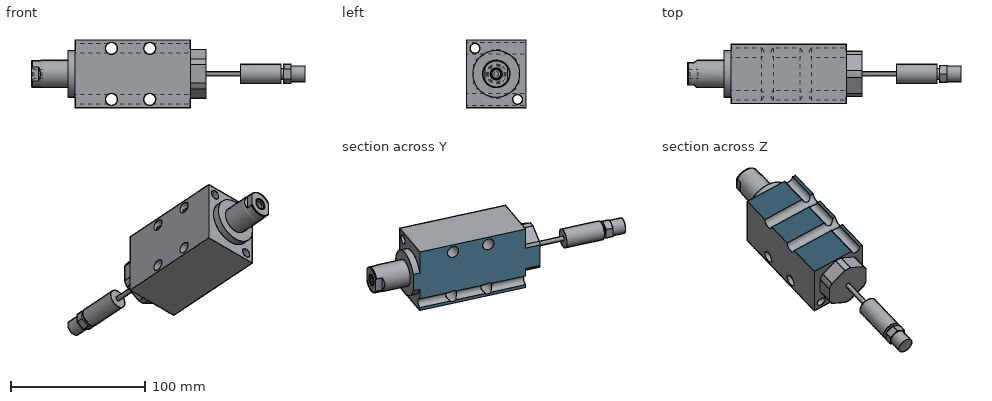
import cadquery as cq
import math

BODY_LENGTH = 85.85
BODY_WIDTH = 44.45
BODY_HEIGHT = 50.8

HOLE_ROW_SPACING = 38.1
MOUNT_HOLE_DIAMETER = 8.73
MOUNT_HOLE_SPACING = 28.575
MOUNT_HOLE_SETBACK = 27.0
END_HOLE_DIAMETER = 7.14
END_HOLE_SPACING = 31.75

FLANGE_DIAMETER = 34.93
FLANGE_LENGTH = 5.4
STEM_DIAMETER = 20.5
STEM_LENGTH = 27.2
TIP_DIAMETER = 19.95
TIP_LENGTH = 6.4
TIP_TAPER_LENGTH = 1.1
TIP_CHAMFER_LENGTH = 0.75
TIP_FACE_DIAMETER = 19.4

FLAT_SPACING = 16.9
FLAT_LENGTH = 5.1
BORE_DIAMETER = 6.5
BORE_MOUTH_DIAMETER = 9.0
COUNTERBORE_DIAMETER = 8.2
COUNTERBORE_DEPTH = 0.9
BORE_DEPTH = 8.0

PLUG_ACROSS_FLATS = 33.9
PLUG_CORNER_DIAMETER = 36.6
PLUG_LENGTH = 11.8

CABLE_DIAMETER = 3.5
CABLE_LENGTH = 25.5
BARREL_DIAMETER = 14.5
BARREL_LENGTH = 30.4
NECK_DIAMETER = 8.4
NECK_LENGTH = 1.8
NUT_ACROSS_FLATS = 12.7
NUT_LENGTH = 5.7
OVERALL_LENGTH = 203.96
SOCKET_DIAMETER = 12.0

FLANGE_START = -FLANGE_LENGTH
STEM_START = FLANGE_START - STEM_LENGTH
CABLE_START = BODY_LENGTH + PLUG_LENGTH
BARREL_START = CABLE_START + CABLE_LENGTH
NECK_START = BARREL_START + BARREL_LENGTH
NUT_START = NECK_START + NECK_LENGTH
SOCKET_START = NUT_START + NUT_LENGTH
SOCKET_LENGTH = STEM_START + OVERALL_LENGTH - SOCKET_START


def cylinder(start, length, diameter):
    """Solid cylinder on the X axis, beginning at X = start."""
    return cq.Workplane("YZ", origin=(start, 0, 0)).circle(diameter / 2).extrude(length)


def hexagon(start, length, across_flats):
    """Hexagonal prism on the X axis with flats facing +Y and -Y."""
    across_corners = across_flats / math.cos(math.pi / 6)
    plane = cq.Workplane("YZ", origin=(start, 0, 0)).transformed(rotate=(0, 0, 90))
    return plane.polygon(6, across_corners).extrude(length)


def make_body():
    block = cq.Workplane("XY").box(BODY_LENGTH, BODY_WIDTH, BODY_HEIGHT)
    return block.translate((BODY_LENGTH / 2, 0, 0))


def make_mount_holes():
    """Four holes across the body, parallel to Y."""
    centre = MOUNT_HOLE_SETBACK + MOUNT_HOLE_SPACING / 2
    return (
        cq.Workplane("XZ", origin=(centre, 0, 0))
        .rarray(MOUNT_HOLE_SPACING, HOLE_ROW_SPACING, 2, 2)
        .circle(MOUNT_HOLE_DIAMETER / 2)
        .extrude(BODY_WIDTH / 2, both=True)
    )


def make_end_holes():
    """Two holes along the body at diagonally opposite corners."""
    y = END_HOLE_SPACING / 2
    z = HOLE_ROW_SPACING / 2
    return (
        cq.Workplane("YZ")
        .pushPoints([(y, z), (-y, -z)])
        .circle(END_HOLE_DIAMETER / 2)
        .extrude(BODY_LENGTH)
    )


def make_stem():
    """Turned stem with a slightly smaller tip, two wrench flats and a blind bore."""
    tip_radius = TIP_DIAMETER / 2
    stem_radius = STEM_DIAMETER / 2
    tip_end = STEM_START + TIP_LENGTH
    stem = (
        cq.Workplane("XZ")
        .moveTo(STEM_START, 0)
        .lineTo(STEM_START, TIP_FACE_DIAMETER / 2)
        .lineTo(STEM_START + TIP_CHAMFER_LENGTH, tip_radius)
        .lineTo(tip_end, tip_radius)
        .lineTo(tip_end + TIP_TAPER_LENGTH, stem_radius)
        .lineTo(FLANGE_START, stem_radius)
        .lineTo(FLANGE_START, 0)
        .close()
        .revolve(360, (0, 0, 0), (1, 0, 0))
    )
    return stem.cut(make_wrench_flat(1)).cut(make_wrench_flat(-1)).cut(make_bore())


def make_wrench_flat(side):
    """Cutter for one wrench flat, running out of the stem at 45 degrees."""
    flat_y = FLAT_SPACING / 2
    runout = STEM_DIAMETER / 2 - flat_y
    flat_end = STEM_START + FLAT_LENGTH
    outline = [
        (STEM_START, side * flat_y),
        (flat_end, side * flat_y),
        (flat_end + runout, side * (flat_y + runout)),
        (STEM_START, side * (flat_y + runout)),
    ]
    return cq.Workplane("XY").polyline(outline).close().extrude(STEM_DIAMETER / 2, both=True)


def make_bore():
    """Blind bore with a short counterbore; the mouth and the counterbore floor are 45 degree cones."""
    bore_radius = BORE_DIAMETER / 2
    counterbore_radius = COUNTERBORE_DIAMETER / 2
    mouth_radius = BORE_MOUTH_DIAMETER / 2
    mouth_end = STEM_START + mouth_radius - counterbore_radius
    counterbore_end = STEM_START + COUNTERBORE_DEPTH
    floor_end = counterbore_end + counterbore_radius - bore_radius
    bore_end = STEM_START + BORE_DEPTH
    return (
        cq.Workplane("XZ")
        .moveTo(STEM_START, 0)
        .lineTo(STEM_START, mouth_radius)
        .lineTo(mouth_end, counterbore_radius)
        .lineTo(counterbore_end, counterbore_radius)
        .lineTo(floor_end, bore_radius)
        .lineTo(bore_end, bore_radius)
        .lineTo(bore_end, 0)
        .close()
        .revolve(360, (0, 0, 0), (1, 0, 0))
    )


def make_plug():
    hexagonal = hexagon(BODY_LENGTH, PLUG_LENGTH, PLUG_ACROSS_FLATS)
    return hexagonal.intersect(cylinder(BODY_LENGTH, PLUG_LENGTH, PLUG_CORNER_DIAMETER))


def make_cable():
    """Cable with its connector: barrel, neck, hexagonal nut and socket."""
    cable = cylinder(CABLE_START, CABLE_LENGTH, CABLE_DIAMETER)
    barrel = cylinder(BARREL_START, BARREL_LENGTH, BARREL_DIAMETER)
    neck = cylinder(NECK_START, NECK_LENGTH, NECK_DIAMETER)
    nut = hexagon(NUT_START, NUT_LENGTH, NUT_ACROSS_FLATS)
    socket = cylinder(SOCKET_START, SOCKET_LENGTH, SOCKET_DIAMETER)
    return cable.union(barrel).union(neck).union(nut).union(socket)


body = make_body().cut(make_mount_holes()).cut(make_end_holes())
flange = cylinder(FLANGE_START, FLANGE_LENGTH, FLANGE_DIAMETER)
result = body.union(flange).union(make_stem()).union(make_plug()).union(make_cable())